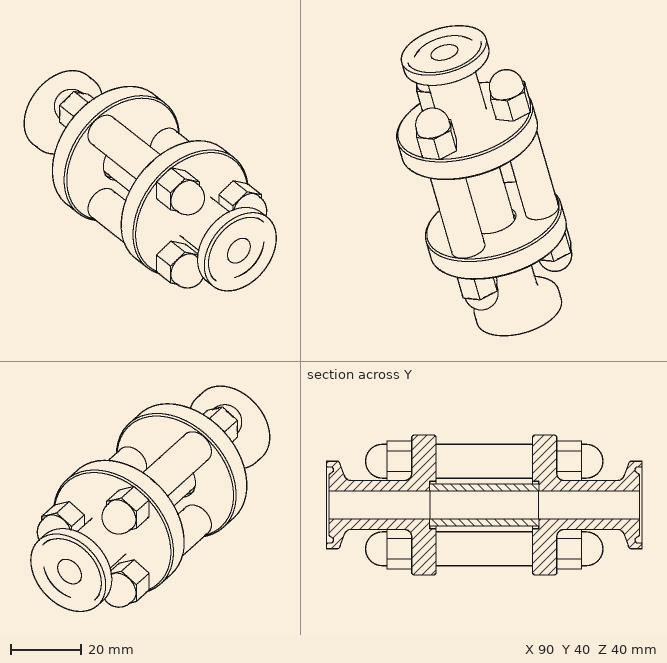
import cadquery as cq
import math

half_length = 45.0
bore_radius = 4.0

flange_radius = 12.5
flange_edge_width = 3.7
flange_back_angle = 20.0
flange_edge_round = 0.9
pipe_radius = 7.0
pipe_fillet = 2.0

seat_depth = 0.7
groove_outer_radius = 10.8
groove_inner_radius = 8.6
groove_inner_wall_angle = 52.0
groove_floor_round = 0.765
groove_outer_lip_round = 0.5
groove_inner_lip_round = 0.7

plate_radius = 20.0
plate_inner_x = 13.7
plate_thickness = 7.0
plate_chamfer = 0.5
plate_outer_x = plate_inner_x + plate_thickness

tube_radius = 6.0
recess_clearance = 0.7
recess_depth = 1.8
tube_half_length = plate_inner_x + recess_depth

rod_count = 3
rod_circle_radius = 14.4
rod_radius = 4.9
nut_across_flats = 10.0
nut_height = 7.0
nut_collar_height = 1.3

edge_search_margin = 0.045


def turn(profile):
    """Closed profile in the XY plane revolved about the X axis."""
    return profile.close().revolve(360, (0, 0, 0), (1, 0, 0))


def disc(radius, start_x, end_x):
    """Cylinder about the X axis between two X positions."""
    return cq.Workplane("YZ").workplane(offset=start_x).circle(radius).extrude(end_x - start_x)


def with_mirror_image(left_part):
    """The part together with its mirror image in the plane X = 0."""
    return left_part.union(left_part.mirror("YZ"))


def centred_box(x, half_width):
    """Selector for edges inside a thin square box about the X axis."""
    return cq.selectors.BoxSelector(
        (x - edge_search_margin, -half_width, -half_width),
        (x + edge_search_margin, half_width, half_width),
        boundingbox=True,
    )


def circle_at(x, radius):
    """Selector for the full circle about the X axis at one X position and radius."""
    return centred_box(x, radius + edge_search_margin) - centred_box(x, radius - edge_search_margin)


def fillet_circle(body, x, radius, fillet_radius):
    return body.edges(circle_at(x, radius)).fillet(fillet_radius)


def make_end_fitting():
    """Left end: clamp flange, pipe and plate as one turned shape with its gasket seat."""
    cone_length = (flange_radius - pipe_radius) * math.tan(math.radians(flange_back_angle))
    edge_end_x = -half_length + flange_edge_width
    cone_end_x = edge_end_x + cone_length
    fitting = turn(
        cq.Workplane("XY")
        .moveTo(-half_length, 0)
        .lineTo(-half_length, flange_radius)
        .lineTo(edge_end_x, flange_radius)
        .lineTo(cone_end_x, pipe_radius)
        .lineTo(-plate_outer_x, pipe_radius)
        .lineTo(-plate_outer_x, plate_radius)
        .lineTo(-plate_inner_x, plate_radius)
        .lineTo(-plate_inner_x, 0)
    )
    fitting = fillet_circle(fitting, edge_end_x, flange_radius, flange_edge_round)
    fitting = fillet_circle(fitting, cone_end_x, pipe_radius, pipe_fillet)
    fitting = fillet_circle(fitting, -plate_outer_x, pipe_radius, pipe_fillet)
    for face_x in (-plate_outer_x, -plate_inner_x):
        fitting = fitting.edges(circle_at(face_x, plate_radius)).chamfer(plate_chamfer)
    return cut_gasket_seat(fitting)


def cut_gasket_seat(fitting):
    seat_x = -half_length + seat_depth
    groove_width = groove_outer_radius - groove_inner_radius
    groove_depth = groove_width * math.tan(math.radians(groove_inner_wall_angle))
    groove_bottom_x = seat_x + groove_depth
    seat = turn(
        cq.Workplane("XY")
        .moveTo(-half_length, 0)
        .lineTo(-half_length, groove_outer_radius)
        .lineTo(groove_bottom_x, groove_outer_radius)
        .lineTo(seat_x, groove_inner_radius)
        .lineTo(seat_x, 0)
    )
    seat = fillet_circle(seat, groove_bottom_x, groove_outer_radius, groove_floor_round)
    seat = fillet_circle(seat, seat_x, groove_inner_radius, groove_inner_lip_round)
    fitting = fitting.cut(seat)
    return fillet_circle(fitting, -half_length, groove_outer_radius, groove_outer_lip_round)


def make_nut():
    """Left nut of one rod, centred on the X axis: hexagon, round collar and dome."""
    nut_end_x = -plate_outer_x - nut_height
    collar_end_x = nut_end_x - nut_collar_height
    across_corners = nut_across_flats / math.cos(math.pi / 6)
    hexagon = (
        cq.Workplane("YZ")
        .workplane(offset=nut_end_x)
        .transformed(rotate=(0, 0, 90))
        .polygon(6, across_corners)
        .extrude(nut_height)
    )
    collar = disc(rod_radius, collar_end_x, nut_end_x)
    dome = turn(
        cq.Workplane("XY")
        .moveTo(collar_end_x, 0)
        .lineTo(collar_end_x, rod_radius)
        .radiusArc((collar_end_x - rod_radius, 0), -rod_radius)
    )
    return hexagon.union(collar).union(dome)


def make_tie_rod():
    """One rod with a nut at each end, on the +Y side of the rod circle."""
    rod = disc(rod_radius, -plate_outer_x, plate_outer_x)
    return rod.union(with_mirror_image(make_nut())).translate((0, rod_circle_radius, 0))


def make_frame():
    """Both end fittings joined by the tie rods, bored through and recessed for the tube."""
    frame = with_mirror_image(make_end_fitting())
    tie_rod = make_tie_rod()
    for index in range(rod_count):
        frame = frame.union(tie_rod.rotate((0, 0, 0), (1, 0, 0), index * 360 / rod_count))
    frame = frame.cut(disc(bore_radius, -half_length, half_length))
    return frame.cut(disc(tube_radius + recess_clearance, -tube_half_length, tube_half_length))


def make_sight_tube():
    """Plain tube that bears on the floors of both recesses."""
    tube = disc(tube_radius, -tube_half_length, tube_half_length)
    return tube.cut(disc(bore_radius, -tube_half_length, tube_half_length))


frame = make_frame()
sight_tube = make_sight_tube()

result = cq.Compound.makeCompound([frame.solids().val(), sight_tube.solids().val()])